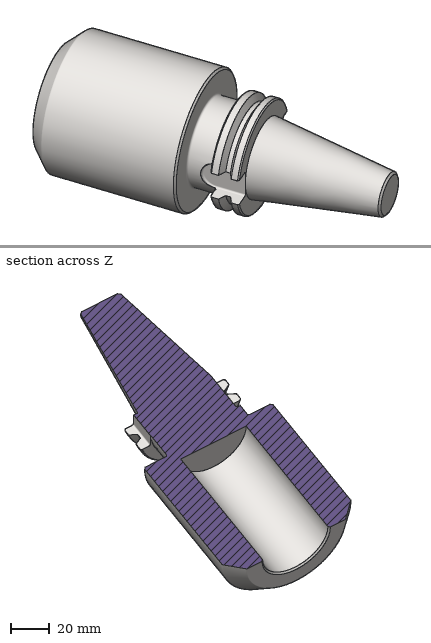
import cadquery as cq
import math

total_length = 188.4

body_diameter = 79.0
body_radius = body_diameter / 2
body_end = 84.8
nose_radius = 30.3
nose_cone_length = body_radius - nose_radius
nose_face_fillet = 0.5
nose_shoulder_fillet = 1.1
body_back_chamfer = 1.1

bore_radius = 20.0
bore_depth = 79.1
bore_chamfer = 1.0

neck_radius = 24.9
neck_fillet = 1.1

flange_start = 100.6
flange_end = 116.8
flange_radius = 31.8
flange_edge_chamfer = 0.8
flange_root_fillet = 0.5
groove_center = 108.9
groove_floor_width = 2.6
groove_floor_radius = 27.9
groove_flank_angle = 30.0

taper_large_radius = 22.6
taper_slope = 7 / 48
taper_end_chamfer = 1.1

slot_width = 16.2
slot_front_floor = 22.6
slot_back_floor = 25.0
slot_floor_fillet = 1.0
slot_cutter_height = 18.8


def make_turned_body():
    """Revolve the half section of the solid holder, then blend its edges."""
    groove_depth = flange_radius - groove_floor_radius
    flank_length = groove_depth * math.tan(math.radians(groove_flank_angle))
    groove_half_floor = groove_floor_width / 2
    groove_half_mouth = groove_half_floor + flank_length
    taper_length = total_length - flange_end
    taper_small_radius = taper_large_radius - taper_slope * taper_length

    profile = (
        cq.Workplane("XY")
        .moveTo(0, 0)
        .lineTo(0, nose_radius)
        .lineTo(nose_cone_length, body_radius)
        .lineTo(body_end, body_radius)
        .lineTo(body_end, neck_radius)
        .lineTo(flange_start, neck_radius)
        .lineTo(flange_start, flange_radius)
        .lineTo(groove_center - groove_half_mouth, flange_radius)
        .lineTo(groove_center - groove_half_floor, groove_floor_radius)
        .lineTo(groove_center + groove_half_floor, groove_floor_radius)
        .lineTo(groove_center + groove_half_mouth, flange_radius)
        .lineTo(flange_end, flange_radius)
        .lineTo(flange_end, taper_large_radius)
        .lineTo(total_length, taper_small_radius)
        .lineTo(total_length, 0)
        .close()
    )
    body = profile.revolve(360, (0, 0, 0), (1, 0, 0))

    def rim(x, radius):
        """Select the circular edge of the given radius at position x."""
        margin = 0.1
        half = radius + margin
        outer_box = cq.selectors.BoxSelector(
            (x - margin, -half, -half), (x + margin, half, half), boundingbox=True
        )
        smaller = radius - margin
        smaller_box = cq.selectors.BoxSelector(
            (x - margin, -smaller, -smaller), (x + margin, smaller, smaller), boundingbox=True
        )
        return outer_box - smaller_box

    body = body.edges(rim(0, nose_radius)).fillet(nose_face_fillet)
    body = body.edges(rim(nose_cone_length, body_radius)).fillet(nose_shoulder_fillet)
    body = body.edges(rim(body_end, body_radius)).chamfer(body_back_chamfer)
    body = body.edges(rim(body_end, neck_radius)).fillet(neck_fillet)
    body = body.edges(rim(flange_start, neck_radius)).fillet(flange_root_fillet)
    for x in (flange_start, flange_end):
        body = body.edges(rim(x, flange_radius)).chamfer(flange_edge_chamfer)
    return body.edges(rim(total_length, taper_small_radius)).chamfer(taper_end_chamfer)


def make_bore():
    """Blind bore along X with a chamfered mouth."""
    return (
        cq.Workplane("XY")
        .lineTo(0, bore_radius + bore_chamfer)
        .lineTo(bore_chamfer, bore_radius)
        .lineTo(bore_depth, bore_radius)
        .lineTo(bore_depth, 0)
        .close()
        .revolve(360, (0, 0, 0), (1, 0, 0))
    )


def make_drive_slot(floor_distance):
    """Round-ended slot cutter on the -Y side, with rounded floor edges."""
    half_width = slot_width / 2
    cutter = (
        cq.Workplane("XZ", origin=(0, -floor_distance, 0))
        .moveTo(flange_end, half_width)
        .lineTo(flange_start, half_width)
        .threePointArc((flange_start - half_width, 0), (flange_start, -half_width))
        .lineTo(flange_end, -half_width)
        .close()
        .extrude(slot_cutter_height)
    )
    floor_edges = cutter.faces(">Y").edges("not(>X)")
    return floor_edges.fillet(slot_floor_fillet)


front_slot = make_drive_slot(slot_front_floor)
back_slot = make_drive_slot(slot_back_floor).rotate((0, 0, 0), (1, 0, 0), 180)

result = make_turned_body().cut(make_bore()).cut(front_slot).cut(back_slot)